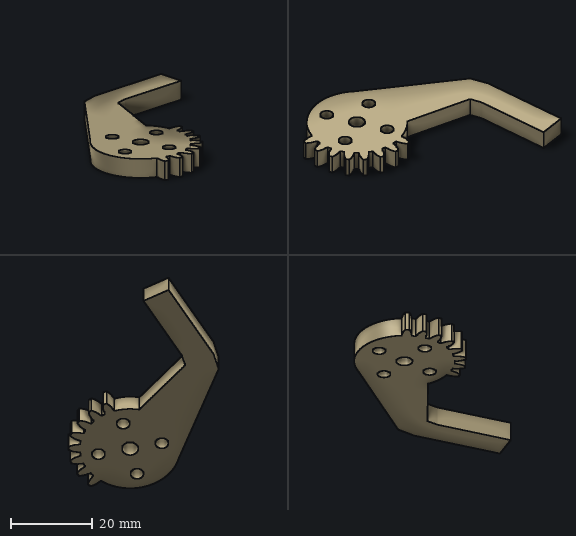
import cadquery as cq
import math

THICKNESS = 5.0
OVERALL_LENGTH = 50.18
HUB_RADIUS = 12.41

FULL_GEAR_TEETH = 22
FIRST_TOOTH = -1
LAST_TOOTH = 6
CIRCULAR_PITCH = 4.0
PRESSURE_ANGLE = math.radians(20)
TIP_RADIUS = 15.25
FLANK_POINTS = 5
ROOT_HALF_WIDTH = 1.27
ROOT_OVERLAP = 1.0
GEAR_TURN = 0.75
TOOTH_ANGLE = 2 * math.pi / FULL_GEAR_TEETH
PITCH_RADIUS = FULL_GEAR_TEETH * CIRCULAR_PITCH / (2 * math.pi)
BASE_RADIUS = PITCH_RADIUS * math.cos(PRESSURE_ANGLE)

CENTER_HOLE_DIAMETER = 4.0
SCREW_HOLE_DIAMETER = 3.2
SCREW_CIRCLE_RADIUS = 8.0
SCREW_HOLE_COUNT = 4
SCREW_START_ANGLE = 20.75

FINGER_WIDTH = 7.1
FINGER_TILT = math.radians(4.0)
FINGER_OUTER_CORNER = (TIP_RADIUS - OVERALL_LENGTH, 36.35)
FINGER_OUTER_LENGTH = 22.9
FINGER_INNER_LENGTH = 19.5
BEND_OUTER_END = (-31.8, 8.85)
BEND_INNER_END = (-25.6, 14.45)
WEB_HALF_HEIGHT = 9.0
WEB_END_X = -math.sqrt(HUB_RADIUS**2 - WEB_HALF_HEIGHT**2)


def polar(radius, angle):
    return (radius * math.cos(angle), radius * math.sin(angle))


def involute_angle(radius):
    """Polar angle swept by the involute between the base circle and a radius."""
    pressure = math.acos(BASE_RADIUS / radius)
    return math.tan(pressure) - pressure


def make_hub():
    return cq.Workplane("XY").circle(HUB_RADIUS).extrude(THICKNESS)


def make_tooth():
    """One tooth along +X: straight flared root up to the base circle, involute above it."""
    base_half_angle = TOOTH_ANGLE / 4 + involute_angle(PITCH_RADIUS)
    upper = []
    lower = []
    for i in range(FLANK_POINTS + 1):
        radius = BASE_RADIUS + (TIP_RADIUS - BASE_RADIUS) * i / FLANK_POINTS
        half_angle = base_half_angle - involute_angle(radius)
        upper.append(polar(radius, half_angle))
        lower.append(polar(radius, -half_angle))
    root_x = HUB_RADIUS - ROOT_OVERLAP
    return (
        cq.Workplane("XY")
        .moveTo(root_x, -ROOT_HALF_WIDTH)
        .lineTo(HUB_RADIUS, -ROOT_HALF_WIDTH)
        .lineTo(*lower[0])
        .spline(lower[1:], includeCurrent=True)
        .threePointArc((TIP_RADIUS, 0), upper[-1])
        .spline(upper[-2::-1], includeCurrent=True)
        .lineTo(HUB_RADIUS, ROOT_HALF_WIDTH)
        .lineTo(root_x, ROOT_HALF_WIDTH)
        .close()
        .extrude(THICKNESS)
    )


def make_arm():
    along = (math.sin(FINGER_TILT), -math.cos(FINGER_TILT))
    across = (math.cos(FINGER_TILT), math.sin(FINGER_TILT))

    def finger_point(offset, length):
        return tuple(
            FINGER_OUTER_CORNER[k] + offset * across[k] + length * along[k] for k in range(2)
        )

    outline = [
        finger_point(0, 0),
        finger_point(0, FINGER_OUTER_LENGTH),
        BEND_OUTER_END,
        (WEB_END_X, -WEB_HALF_HEIGHT),
        (WEB_END_X, WEB_HALF_HEIGHT),
        BEND_INNER_END,
        finger_point(FINGER_WIDTH, FINGER_INNER_LENGTH),
        finger_point(FINGER_WIDTH, 0),
    ]
    return cq.Workplane("XY").polyline(outline).close().extrude(THICKNESS)


def make_holes():
    center = cq.Workplane("XY").circle(CENTER_HOLE_DIAMETER / 2).extrude(THICKNESS)
    screws = (
        cq.Workplane("XY")
        .polarArray(SCREW_CIRCLE_RADIUS, SCREW_START_ANGLE, 360, SCREW_HOLE_COUNT)
        .circle(SCREW_HOLE_DIAMETER / 2)
        .extrude(THICKNESS)
    )
    return center.union(screws)


body = make_hub().union(make_arm())
tooth = make_tooth()
for index in range(FIRST_TOOTH, LAST_TOOTH + 1):
    turn = GEAR_TURN + math.degrees(index * TOOTH_ANGLE)
    body = body.union(tooth.rotate((0, 0, 0), (0, 0, 1), turn))

result = body.cut(make_holes())